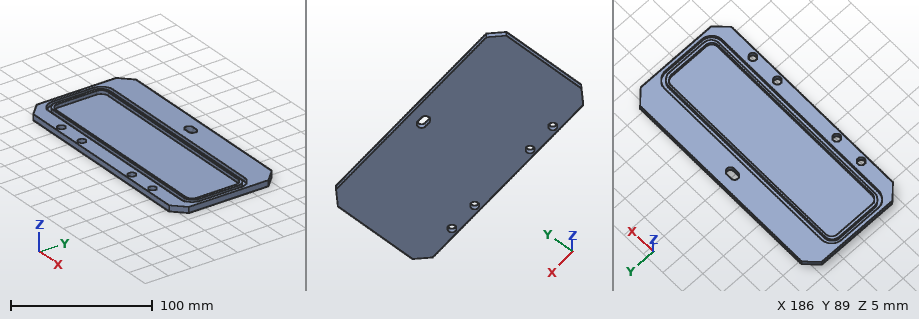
import cadquery as cq

length = 186.0
width = 89.0
thickness = 5.0
corner_chamfer = 10.0

recess_center_y = -5.0
groove_length = 180.5
groove_width = 55.5
groove_radius = 10.0
groove_depth = 3.0
rim_length = 174.8
rim_width = 48.7
rim_radius = 7.5
pocket_length = 170.2
pocket_width = 45.4
pocket_radius = 6.0
pocket_depth = 3.0

hole_diameter = 6.3
hole_edge_distance = 5.0
hole_offsets_x = (30.5, 55.6)
slot_length = 11.0
slot_width = 6.7
slot_edge_distance = 11.3


def rounded_block(size_x, size_y, radius, depth):
    """Rounded block reaching down by depth from the plate top."""
    return (
        cq.Workplane("XY", origin=(0, recess_center_y, thickness - depth))
        .rect(size_x, size_y)
        .extrude(depth)
        .edges("|Z")
        .fillet(radius)
    )


plate = (
    cq.Workplane("XY")
    .rect(length, width)
    .extrude(thickness)
    .edges("|Z")
    .chamfer(corner_chamfer)
)

rim_body = rounded_block(rim_length, rim_width, rim_radius, groove_depth)
groove = rounded_block(groove_length, groove_width, groove_radius, groove_depth).cut(rim_body)

pocket = rounded_block(pocket_length, pocket_width, pocket_radius, pocket_depth)

hole_y = hole_edge_distance - width / 2
hole_points = [(side * x, hole_y) for side in (-1, 1) for x in hole_offsets_x]
holes = cq.Workplane("XY").pushPoints(hole_points).circle(hole_diameter / 2).extrude(thickness)

slot = (
    cq.Workplane("XY")
    .center(0, width / 2 - slot_edge_distance)
    .slot2D(slot_length, slot_width)
    .extrude(thickness)
)

result = plate.cut(groove).cut(pocket).cut(holes).cut(slot)